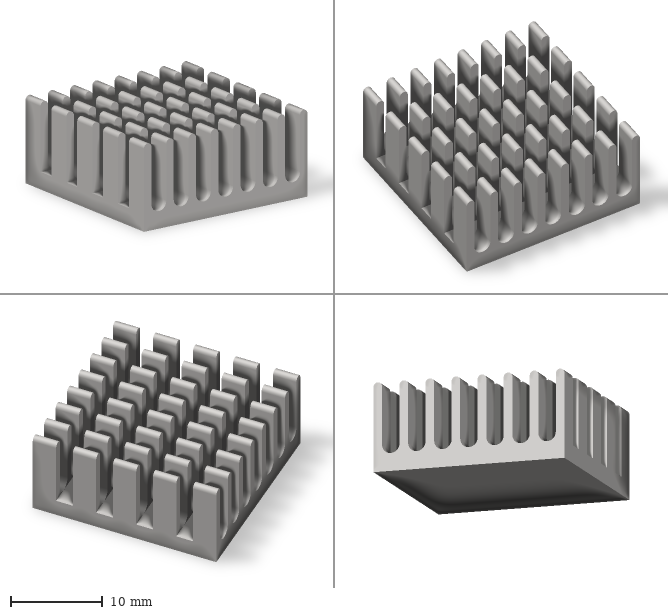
import cadquery as cq

side = 22.0
height = 10.0
base_thickness = 2.0

fin_count = 8
gap_to_fin_ratio = 2
fin_thickness = side / (fin_count + gap_to_fin_ratio * (fin_count - 1))
gap_width = gap_to_fin_ratio * fin_thickness
fin_pitch = fin_thickness + gap_width
tip_radius = fin_thickness / 2
root_radius = gap_width / 2

block_count = 5
channel_width = gap_width
block_length = (side - (block_count - 1) * channel_width) / block_count
block_pitch = block_length + channel_width


def finned_bar():
    """Extrude the fin profile along X, with round fin tips and round gap bottoms."""
    tip_start = height - tip_radius
    root_start = base_thickness + root_radius

    profile = cq.Workplane("YZ").moveTo(-side / 2, 0)
    for index in range(fin_count):
        fin_start = -side / 2 + index * fin_pitch
        fin_end = fin_start + fin_thickness
        profile = profile.lineTo(fin_start, tip_start)
        profile = profile.threePointArc((fin_start + tip_radius, height), (fin_end, tip_start))
        if index < fin_count - 1:
            profile = profile.lineTo(fin_end, root_start)
            profile = profile.threePointArc(
                (fin_end + root_radius, base_thickness), (fin_end + gap_width, root_start)
            )
    profile = profile.lineTo(side / 2, 0).close()
    return profile.extrude(side / 2, both=True)


def cross_channels():
    """Boxes that clear the channels along Y, down to the top of the base."""
    return (
        cq.Workplane("XY", origin=(0, 0, base_thickness))
        .rarray(block_pitch, 0.22, block_count - 1, 1)
        .rect(channel_width, side)
        .extrude(height - base_thickness)
    )


result = finned_bar().cut(cross_channels())